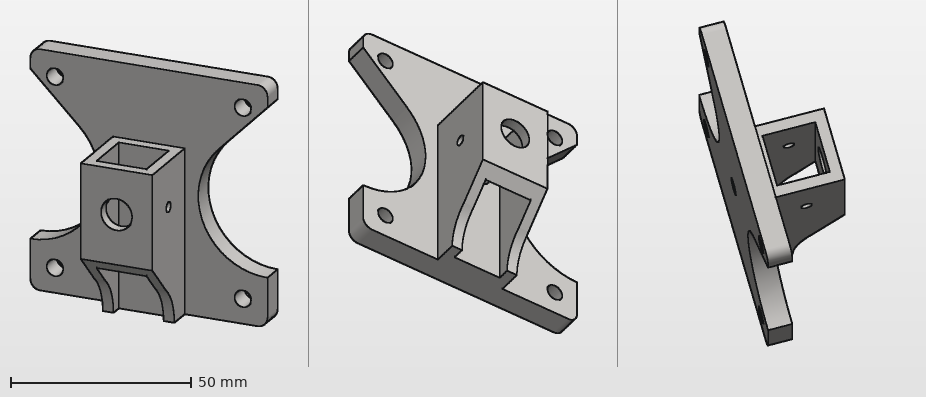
import cadquery as cq
import math

plate_size = 72.0
plate_thickness = 7.0
corner_radius = 3.0
screw_hole_diameter = 5.0
screw_hole_spacing = 57.0
waist_radius = 21.0

overall_depth = 29.0
socket_width = 21.75
socket_top = 13.5
socket_bore = 15.2
slope_height = 21.0
foot_arc_radius = 15.0

access_hole_diameter = 9.4
pin_hole_diameter = 3.0

half_plate = plate_size / 2
plate_front = -plate_thickness
socket_front = -overall_depth
socket_depth = overall_depth - plate_thickness
socket_middle = plate_front - socket_depth / 2


def make_plate():
    """Square plate with rounded corners, waisted on both sides."""
    plate = (
        cq.Workplane("XZ")
        .rect(plate_size, plate_size)
        .extrude(plate_thickness)
        .edges("|Y")
        .fillet(corner_radius)
    )
    for side in (-1, 1):
        plate = plate.cut(make_waist_cut(side))
    screw_holes = (
        cq.Workplane("XZ")
        .rect(screw_hole_spacing, screw_hole_spacing, forConstruction=True)
        .vertices()
        .circle(screw_hole_diameter / 2)
        .extrude(plate_thickness)
    )
    return plate.cut(screw_holes)


def make_waist_cut(side):
    """Arc centred on the plate's side edge, leaving upward on a 45 degree tangent."""
    edge_x = side * half_plate
    tangent_offset = waist_radius * math.sqrt(0.5)
    return (
        cq.Workplane("XZ")
        .moveTo(edge_x, -waist_radius)
        .threePointArc(
            (edge_x - side * waist_radius, 0),
            (edge_x - side * tangent_offset, tangent_offset),
        )
        .lineTo(edge_x, waist_radius * math.sqrt(2))
        .close()
        .extrude(plate_thickness)
    )


def make_socket():
    """Square block whose lower front falls back at 45 degrees and then curves down to the foot.

    The curve is centred on the block's lower front corner and meets the bottom upright.
    """
    slope_drop = (slope_height - math.sqrt(2 * foot_arc_radius**2 - slope_height**2)) / 2
    arc_start = (socket_front + slope_drop, slope_height - half_plate - slope_drop)
    arc_end = (socket_front + foot_arc_radius, -half_plate)
    return (
        cq.Workplane("YZ")
        .moveTo(plate_front, socket_top)
        .lineTo(socket_front, socket_top)
        .lineTo(socket_front, slope_height - half_plate)
        .lineTo(*arc_start)
        .radiusArc(arc_end, foot_arc_radius)
        .lineTo(plate_front, -half_plate)
        .close()
        .extrude(socket_width / 2, both=True)
    )


def make_socket_bore():
    return (
        cq.Workplane("XY")
        .center(0, socket_middle)
        .rect(socket_bore, socket_bore)
        .extrude(half_plate, both=True)
    )


def make_centre_holes():
    """Screw hole through the plate, wider access hole through the socket and a cross pin hole."""
    screw_hole = cq.Workplane("XZ").circle(screw_hole_diameter / 2).extrude(plate_thickness)
    access_hole = (
        cq.Workplane("XZ", origin=(0, plate_front, 0))
        .circle(access_hole_diameter / 2)
        .extrude(socket_depth)
    )
    pin_hole = (
        cq.Workplane("YZ")
        .center(socket_middle, 0)
        .circle(pin_hole_diameter / 2)
        .extrude(socket_width / 2, both=True)
    )
    return screw_hole.union(access_hole).union(pin_hole)


result = make_plate().union(make_socket()).cut(make_socket_bore()).cut(make_centre_holes())